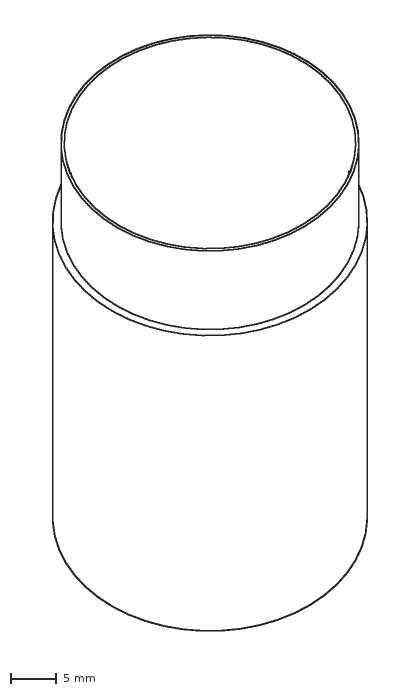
import cadquery as cq

total_height = 60.3
body_diameter = 35.0
body_height = 47.65

collar_diameter = 33.1
rim_width = 0.35

bore_diameter = 30.9
flare_depth = 4.2

body_radius = body_diameter / 2
collar_radius = collar_diameter / 2
bore_radius = bore_diameter / 2

half_section = [
    (bore_radius, 0),
    (body_radius, 0),
    (body_radius, body_height),
    (collar_radius, body_height),
    (collar_radius, total_height),
    (collar_radius - rim_width, total_height),
    (bore_radius, total_height - flare_depth),
]

result = cq.Workplane("XZ").polyline(half_section).close().revolve(360, (0, 0, 0), (0, 1, 0))